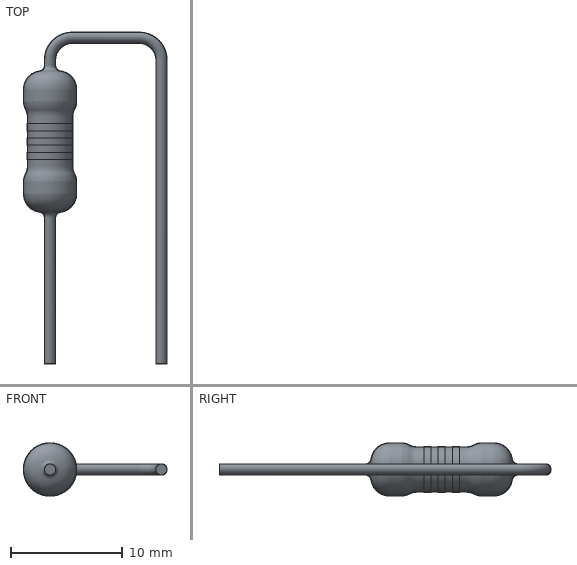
import cadquery as cq
import math


wire_diameter = 1.0
wire_radius = wire_diameter / 2
overall_length = 29.8
lead_pitch = 10.0
bend_radius = 2.0
fold_outer_y = 9.83

cap_radius = 4.8 / 2
waist_radius = 4.08 / 2
band_radius = 4.1 / 2
waist_section_count = 7
waist_half_length = 4.5 / 2
cap_inner_y = 3.6
cap_outer_y = 4.68
neck_y = 6.82
neck_fillet = 0.48

radial_gap = cap_radius - wire_radius
axial_gap = neck_y - cap_outer_y
radius_sum = (radial_gap**2 + axial_gap**2) / (2 * radial_gap)
dome_radius = radius_sum - neck_fillet


def point_on_circle(center, radius, angle):
    return (center[0] + radius * math.cos(angle), center[1] + radius * math.sin(angle))


def make_half_body():
    """Revolve the +Y half of the body: waist, shoulder, cap, dome and neck."""
    rise = cap_radius - waist_radius
    run = cap_inner_y - waist_half_length
    shoulder_middle = (waist_radius + rise / 2, waist_half_length + run / 2)

    dome_center = (cap_radius - dome_radius, cap_outer_y)
    neck_center = (wire_radius + neck_fillet, neck_y)
    contact_angle = math.atan2(axial_gap, neck_center[0] - dome_center[0])
    dome_middle = point_on_circle(dome_center, dome_radius, contact_angle / 2)
    contact = point_on_circle(dome_center, dome_radius, contact_angle)
    neck_middle_angle = math.pi + contact_angle / 2
    neck_middle = point_on_circle(neck_center, neck_fillet, neck_middle_angle)

    return (
        cq.Workplane("XY")
        .lineTo(waist_radius, 0)
        .lineTo(waist_radius, waist_half_length)
        .tangentArcPoint(shoulder_middle, relative=False)
        .tangentArcPoint((cap_radius, cap_inner_y), relative=False)
        .lineTo(cap_radius, cap_outer_y)
        .threePointArc(dome_middle, contact)
        .threePointArc(neck_middle, (wire_radius, neck_y))
        .lineTo(0, neck_y)
        .close()
        .revolve(360, (0, 0), (0, 1))
    )


def make_bands():
    """Raised colour bands on every other section of the waist."""
    section_pitch = 2 * waist_half_length / waist_section_count
    bands = cq.Workplane("XZ")
    for index in range(1, waist_section_count, 2):
        band_start = -waist_half_length + index * section_pitch
        band = (
            cq.Workplane("XZ", origin=(0, band_start, 0))
            .circle(band_radius)
            .extrude(-section_pitch)
        )
        bands = bands.add(band)
    return bands.combine()


def make_straight_lead(start_y, end_y):
    return (
        cq.Workplane("XZ", origin=(0, start_y, 0))
        .circle(wire_radius)
        .extrude(start_y - end_y)
    )


def make_folded_lead(start_y, end_y):
    """Wire leaving the +Y neck, crossing over in +X and running back along -Y."""
    fold_y = fold_outer_y - wire_radius
    bend_y = fold_y - bend_radius
    path = (
        cq.Workplane("XY")
        .moveTo(0, start_y)
        .lineTo(0, bend_y)
        .tangentArcPoint((bend_radius, fold_y), relative=False)
        .lineTo(lead_pitch - bend_radius, fold_y)
        .tangentArcPoint((lead_pitch, bend_y), relative=False)
        .lineTo(lead_pitch, end_y)
    )
    return cq.Workplane("XZ", origin=(0, start_y, 0)).circle(wire_radius).sweep(path)


lead_end_y = fold_outer_y - overall_length

upper_half = make_half_body()
body = upper_half.union(upper_half.mirror("XZ")).union(make_bands())
result = (
    body
    .union(make_straight_lead(-neck_y, lead_end_y))
    .union(make_folded_lead(neck_y, lead_end_y))
)